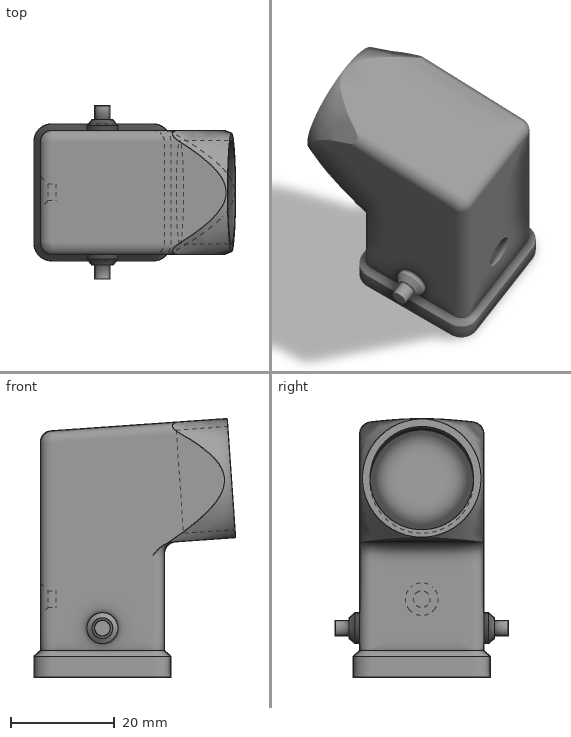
import cadquery as cq
import math

column_half = 12
corner_radius = 2.25

flange_overhang = 1.25
flange_half = column_half + flange_overhang
flange_height = 5.2
flange_chamfer_height = 1.15
flange_corner_radius = corner_radius + flange_overhang

arm_tilt = 4
overall_height = 50
overall_length = 39
mouth_low_x = overall_length - flange_half
arm_height = 23.1
elbow_radius = 2.25

mouth_radius = 11.45
cone_slope = 0.4
cone_length = 16
bore_radius = 10
bore_depth = 10

peg_height = 9.5
peg_radius = 1.5
peg_reach = 16.75
boss_radius = 3
boss_tip_radius = 2
boss_straight_reach = 12.9
boss_reach = 14.05

hole_height = 15.1
hole_radius = 1.6
countersink_radius = 3.15
countersink_depth = 1.5
hole_depth = 3

select_margin = 0.5

tilt = math.radians(arm_tilt)
mouth_high_x = mouth_low_x - arm_height * math.sin(tilt)

summit_setback = (arm_height / 2 - mouth_radius) / cone_slope
mouth_high_z = overall_height + summit_setback * math.sin(tilt)
mouth_low_z = mouth_high_z - arm_height * math.cos(tilt)
mouth_centre_x = (mouth_low_x + mouth_high_x) / 2
mouth_centre_z = (mouth_low_z + mouth_high_z) / 2
mouth_plane = cq.Plane(
    origin=(mouth_centre_x, 0, mouth_centre_z),
    xDir=(0, 1, 0),
    normal=(math.cos(tilt), 0, math.sin(tilt)),
)


def make_column():
    """Square shaft with rounded upright edges, ending inside the arm."""
    side = 2 * column_half
    return (
        cq.Workplane("XY")
        .rect(side, side)
        .extrude(mouth_low_z)
        .edges("|Z")
        .fillet(corner_radius)
    )


def make_arm():
    """Tilted block with rounded back and top edges and sharp lower edges."""
    back_x = -column_half
    rise_per_length = math.tan(tilt)
    back_low_z = mouth_low_z - (mouth_low_x - back_x) * rise_per_length
    back_high_z = mouth_high_z - (mouth_high_x - back_x) * rise_per_length
    top_zone = cq.selectors.BoxSelector(
        (back_x - select_margin, -column_half - select_margin, back_high_z - select_margin),
        (mouth_high_x - select_margin, column_half + select_margin, mouth_high_z),
    )
    return (
        cq.Workplane("XZ")
        .polyline([
            (back_x, back_low_z),
            (mouth_low_x, mouth_low_z),
            (mouth_high_x, mouth_high_z),
            (back_x, back_high_z),
        ])
        .close()
        .extrude(column_half, both=True)
        .edges("|Z")
        .fillet(corner_radius)
        .edges(top_zone)
        .fillet(corner_radius)
    )


def make_turning_waste():
    """What the conical turning removes: arm-high block minus a cone around the mouth axis."""
    block = (
        cq.Workplane(mouth_plane)
        .rect(2 * column_half, arm_height)
        .extrude(-cone_length)
    )
    cone = (
        cq.Workplane(mouth_plane)
        .circle(mouth_radius)
        .workplane(offset=-cone_length)
        .circle(mouth_radius + cone_slope * cone_length)
        .loft()
    )
    return block.cut(cone)


def make_hood():
    """Column and arm joined by a filleted elbow, with the arm turned down to its mouth."""
    wide_half = column_half + select_margin
    elbow_zone = cq.selectors.BoxSelector(
        (column_half - corner_radius - select_margin, -wide_half, mouth_low_z - corner_radius),
        (wide_half, wide_half, mouth_low_z),
    )
    joined = make_column().union(make_arm())
    return joined.edges(elbow_zone).fillet(elbow_radius).cut(make_turning_waste())


def make_flange():
    """Rounded square foot with a chamfered top edge."""
    side = 2 * flange_half
    return (
        cq.Workplane("XY")
        .rect(side, side)
        .extrude(flange_height)
        .edges("|Z")
        .fillet(flange_corner_radius)
        .faces(">Z")
        .chamfer(flange_chamfer_height, flange_overhang)
    )


def make_pegs():
    """Turned peg on a cone-tipped boss, sticking out on both Y sides."""
    half_profile = [
        (0, 0),
        (boss_radius, 0),
        (boss_radius, boss_straight_reach),
        (boss_tip_radius, boss_reach),
        (peg_radius, boss_reach),
        (peg_radius, peg_reach),
        (0, peg_reach),
    ]
    peg = (
        cq.Workplane("XY")
        .polyline(half_profile)
        .close()
        .revolve(360, (0, 0, 0), (0, 1, 0))
        .translate((0, 0, peg_height))
    )
    return peg.union(peg.mirror("XZ"))


def make_hole():
    """Blind round hole with a conical countersink, entering from the -X side."""
    half_profile = [
        (0, 0),
        (0, countersink_radius),
        (countersink_depth, hole_radius),
        (hole_depth, hole_radius),
        (hole_depth, 0),
    ]
    return (
        cq.Workplane("XZ")
        .polyline(half_profile)
        .close()
        .revolve(360, (0, 0, 0), (1, 0, 0))
        .translate((-column_half, 0, hole_height))
    )


def make_bore():
    """Blind cable bore running into the arm from its mouth."""
    return cq.Workplane(mouth_plane).circle(bore_radius).extrude(-bore_depth)


result = (
    make_hood()
    .union(make_flange())
    .union(make_pegs())
    .cut(make_hole())
    .cut(make_bore())
)